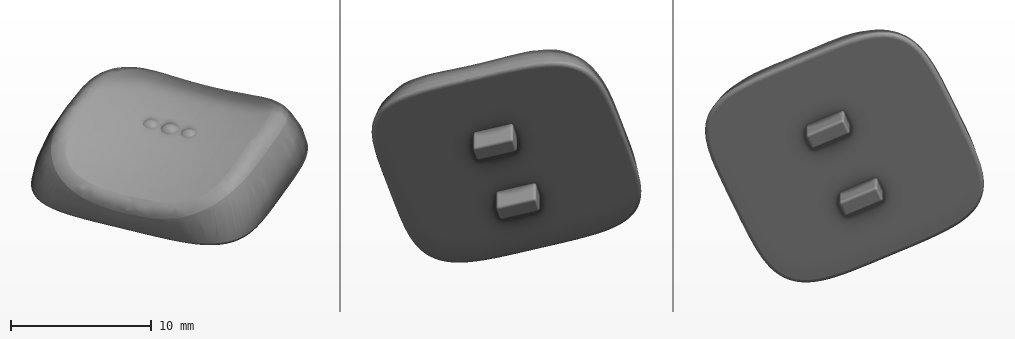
import cadquery as cq
import math

cap_length = 17.47
cap_width = 16.47
dish_center_height = 3.51
foot_height = 0.3
base_fillet = 0.28
rim_fillet = 1.24

wall_radius = 5.94
wall_top = 4.9
wall_levels = 5

squareness_at_foot = 4.3
squareness_at_top = 2.5
quarter_steps = 12

dish_radius = 26.55
crown_radius = 24.1
saddle_reach = 10.48

dot_pitch = 1.48
center_dot_radius = 0.63
center_dot_height = 0.26
side_dot_radius = 0.55
side_dot_height = 0.2

peg_length = 2.97
peg_width = 1.19
peg_drop = 1.78
peg_spacing = 5.7
peg_fillet = 0.2
peg_root = 0.35


def draw_outline(plane, half_length, half_width, squareness):
    """Closed superellipse drawn as four smooth quarters starting at +X."""

    def outline_point(step):
        angle = math.pi / 2 * step / quarter_steps
        x, y = math.cos(angle), math.sin(angle)
        return (
            math.copysign(half_length * abs(x) ** (2 / squareness), x),
            math.copysign(half_width * abs(y) ** (2 / squareness), y),
        )

    ends = [(half_length, 0), (0, half_width), (-half_length, 0), (0, -half_width)]
    directions = [(0, 1), (-1, 0), (0, -1), (1, 0)]
    outline = plane.moveTo(*ends[0])
    for quarter in range(4):
        following = (quarter + 1) % 4
        first_step = quarter * quarter_steps
        inner_points = [outline_point(first_step + step) for step in range(1, quarter_steps)]
        outline = outline.spline(
            inner_points + [ends[following]],
            tangents=[directions[quarter], directions[following]],
            includeCurrent=True,
        )
    return outline.close()


def make_foot():
    """Vertical band at the bottom with a rounded lower edge."""
    outline = draw_outline(cq.Workplane("XY"), cap_length / 2, cap_width / 2, squareness_at_foot)
    return outline.extrude(foot_height).faces("<Z").edges().fillet(base_fillet)


def make_wall():
    """Curved wall lofted from the foot to above the top surface."""
    wall = cq.Workplane("XY", origin=(0, 0, foot_height))
    level_step = (wall_top - foot_height) / (wall_levels - 1)
    for level in range(wall_levels):
        rise = level * level_step
        inset = wall_radius - math.sqrt(wall_radius**2 - rise**2)
        share = level / (wall_levels - 1)
        squareness = squareness_at_foot + share * (squareness_at_top - squareness_at_foot)
        if level > 0:
            wall = wall.workplane(offset=level_step)
        wall = draw_outline(wall, cap_length / 2 - inset, cap_width / 2 - inset, squareness)
    return wall.loft()


def make_saddle():
    """Solid under the saddle: the dish arc swung about an axis along X."""
    axis_height = dish_center_height - crown_radius
    edge_height = dish_center_height + dish_radius - math.sqrt(dish_radius**2 - saddle_reach**2)
    return (
        cq.Workplane("XZ")
        .moveTo(-saddle_reach, axis_height)
        .lineTo(-saddle_reach, edge_height)
        .threePointArc((0, dish_center_height), (saddle_reach, edge_height))
        .lineTo(saddle_reach, axis_height)
        .close()
        .revolve(360, (-saddle_reach, axis_height), (saddle_reach, axis_height))
    )


def make_cap():
    """Walls trimmed by the saddle, with a rounded rim and a rounded foot."""
    dome = make_wall().intersect(make_saddle())
    rounded_dome = dome.faces(">Z").edges().fillet(rim_fillet)
    return make_foot().union(rounded_dome)


def make_dot(x, radius, height):
    """Spherical cap of the given base radius standing proud of the dish."""
    sphere_radius = (radius**2 + height**2) / (2 * height)
    surface_height = dish_center_height + dish_radius - math.sqrt(dish_radius**2 - x**2)
    center_height = surface_height + height - sphere_radius
    return cq.Workplane("XY", origin=(x, 0, center_height)).sphere(sphere_radius)


def make_peg(y):
    """Peg hanging below the cap, rooted in it, with rounded sides and tip."""
    return (
        cq.Workplane("XY", origin=(0, y, -peg_drop))
        .rect(peg_length, peg_width)
        .extrude(peg_drop + peg_root)
        .edges("|Z or <Z")
        .fillet(peg_fillet)
    )


result = make_cap()
result = result.union(make_dot(0, center_dot_radius, center_dot_height))
for side in (-1, 1):
    result = result.union(make_dot(side * dot_pitch, side_dot_radius, side_dot_height))
    result = result.union(make_peg(side * peg_spacing / 2))